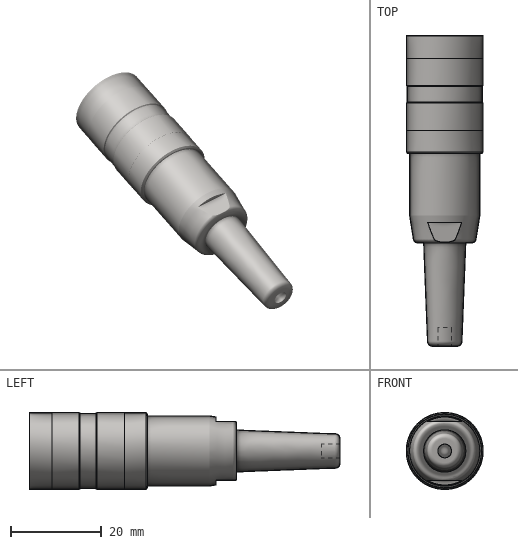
import cadquery as cq

length = 68.5
back_end = length / 2

band_diameter = 17.0
sleeve_diameter = 16.9
groove_diameter = 16.6
body_diameter = 15.5
nose_diameter = 13.55
tail_root_diameter = 9.3
tail_tip_diameter = 7.55
tip_hole_diameter = 3.0

band_start = 5.0
groove_start = 10.95
groove_end = 14.85
band_end = 20.95
sleeve_end = 26.0
nose_start = 39.7
flat_start = 41.2
nose_end = 45.7

groove_bevel = 0.2
sleeve_chamfer = 0.35
nose_fillet = 0.95
tail_fillet = 1.1
flat_spacing = 13.0
tip_hole_depth = 4.1


def frustum(start, end, start_diameter, end_diameter):
    """Cone or cylinder about Y between two distances from the back end."""
    profile = [
        (0, back_end - start),
        (start_diameter / 2, back_end - start),
        (end_diameter / 2, back_end - end),
        (0, back_end - end),
    ]
    return cq.Workplane("XY").polyline(profile).close().revolve(360, (0, 0, 0), (0, 1, 0))


def cylinder(start, end, diameter):
    """Cylinder about Y between two distances from the back end."""
    return frustum(start, end, diameter, diameter)


def make_sleeve():
    """Coupling sleeve with two raised bands either side of a bevelled groove."""
    sleeve = cylinder(0, sleeve_end, sleeve_diameter).faces("<Y").chamfer(sleeve_chamfer)
    bands = cylinder(band_start, band_end, band_diameter)
    floor_start = groove_start + groove_bevel
    floor_end = groove_end - groove_bevel
    groove_core = (
        frustum(groove_start, floor_start, band_diameter, groove_diameter)
        .union(cylinder(floor_start, floor_end, groove_diameter))
        .union(frustum(floor_end, groove_end, groove_diameter, band_diameter))
    )
    groove_span = cylinder(groove_start, groove_end, band_diameter)
    return sleeve.union(bands).cut(groove_span).union(groove_core)


def make_nose():
    """Tapered nose with a rounded end and two opposite wrench flats."""
    nose = frustum(nose_start, nose_end, body_diameter, nose_diameter)
    nose = nose.faces("<Y").edges().fillet(nose_fillet)
    flat_length = nose_end - flat_start
    flat_center = back_end - (flat_start + nose_end) / 2
    cutter = cq.Workplane("XY").box(body_diameter, flat_length, body_diameter)
    cutter_offset = (flat_spacing + body_diameter) / 2
    for side in (1, -1):
        nose = nose.cut(cutter.translate((0, flat_center, side * cutter_offset)))
    return nose


def make_tail():
    """Tapered cable boot with a rounded tip."""
    tail = frustum(nose_end, length, tail_root_diameter, tail_tip_diameter)
    return tail.faces("<Y").edges().fillet(tail_fillet)


body = cylinder(sleeve_end, nose_start, body_diameter)
tip_hole = cylinder(length - tip_hole_depth, length, tip_hole_diameter)

result = make_sleeve().union(body).union(make_nose()).union(make_tail()).cut(tip_hole)